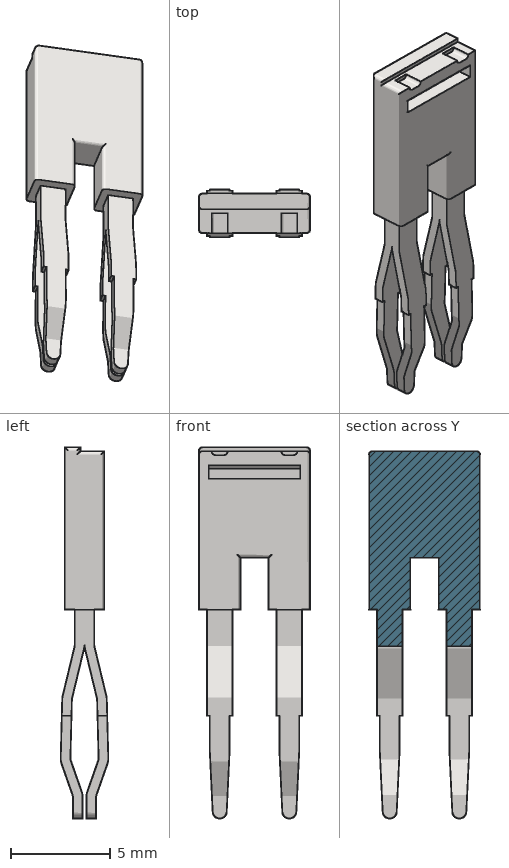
import cadquery as cq
import math


OVERALL_HEIGHT = 18.67
CONTACT_LENGTH = 10.5
HOUSING_WIDTH = 5.6
HOUSING_DEPTH = 2.0
HOUSING_HEIGHT = OVERALL_HEIGHT - CONTACT_LENGTH
END_RADIUS = 0.2

LIP_DEPTH = 0.8
LIP_HEIGHT = 0.2
SHOULDER_HEIGHT = HOUSING_HEIGHT - LIP_HEIGHT

SLOT_WIDTH = 1.4
SLOT_HEIGHT = 2.6
SLOT_EDGE_RADIUS = 0.2

RECESS_WIDTH = 4.6
RECESS_BOTTOM = 6.57
RECESS_HEIGHT = 0.7
RECESS_DEPTH = 1.0
RECESS_BEVEL = 0.18

NOTCH_WIDTH = 0.8
NOTCH_DEPTH = 0.2
NOTCH_LENGTH = 1.0
NOTCH_RADIUS = 0.19

CONTACT_PITCH = 3.5
CONTACT_WIDTH = 1.3
ARM_THICKNESS = 0.5
EMBEDDED_LENGTH = 1.0
BEND_RADIUS_INSIDE = 0.25
BEND_RADIUS_OUTSIDE = BEND_RADIUS_INSIDE + ARM_THICKNESS
NARROW_WIDTH = 1.0
NARROW_TOP = -5.34
TAPER_TOP = -7.18
TIP_RADIUS = 0.36

SPLIT_BEND = (ARM_THICKNESS / 2, -1.86)
UPPER_BEND = (0.875, -4.45)
LOWER_BEND = (0.955, -7.57)
TIP_BEND = (0.34, -9.32)


def offset_path(path, distance):
    """Points of an open (y, z) path moved sideways, towards +Y for a path running down."""
    headings = [math.atan2(b[1] - a[1], b[0] - a[0]) for a, b in zip(path, path[1:])]
    incoming = [headings[0]] + headings
    outgoing = headings + [headings[-1]]
    moved = []
    for (y, z), before, after in zip(path, incoming, outgoing):
        normal = (before + after) / 2 + math.pi / 2
        reach = distance / math.cos((after - before) / 2)
        moved.append((y + reach * math.cos(normal), z + reach * math.sin(normal)))
    return moved


def fillet_bends(arm, bends, radii):
    """Round the crosswise arm edges that lie at the given (y, z) bends."""
    for (y, z), radius in zip(bends, radii):
        arm = arm.edges(cq.selectors.NearestToPointSelector((0, y, z))).fillet(radius)
    return arm


def make_arm():
    """Bent strip of constant thickness on the +Y side, full contact width."""
    path = [
        (SPLIT_BEND[0], EMBEDDED_LENGTH),
        SPLIT_BEND,
        UPPER_BEND,
        LOWER_BEND,
        TIP_BEND,
        (TIP_BEND[0], -CONTACT_LENGTH),
    ]
    outer = offset_path(path, ARM_THICKNESS / 2)
    inner = offset_path(path, -ARM_THICKNESS / 2)
    arm = cq.Workplane("YZ").polyline(outer + inner[::-1]).close().extrude(CONTACT_WIDTH / 2, both=True)
    outer_radii = [BEND_RADIUS_INSIDE, BEND_RADIUS_OUTSIDE, BEND_RADIUS_OUTSIDE, BEND_RADIUS_INSIDE]
    inner_radii = [BEND_RADIUS_OUTSIDE, BEND_RADIUS_INSIDE, BEND_RADIUS_INSIDE, BEND_RADIUS_OUTSIDE]
    arm = fillet_bends(arm, outer[1:-1], outer_radii)
    return fillet_bends(arm, inner[1:-1], inner_radii)


def make_contact():
    """Pair of mirrored arms trimmed to the stepped, tapered and round-tipped front outline."""
    arm = make_arm()
    arms = arm.union(arm.mirror("XZ"))
    wide = CONTACT_WIDTH / 2
    narrow = NARROW_WIDTH / 2
    tip_centre = TIP_RADIUS - CONTACT_LENGTH
    outline = (
        cq.Workplane("XZ")
        .moveTo(-wide, EMBEDDED_LENGTH)
        .lineTo(-wide, NARROW_TOP)
        .lineTo(-narrow, NARROW_TOP)
        .lineTo(-narrow, TAPER_TOP)
        .lineTo(-TIP_RADIUS, tip_centre)
        .threePointArc((0, -CONTACT_LENGTH), (TIP_RADIUS, tip_centre))
        .lineTo(narrow, TAPER_TOP)
        .lineTo(narrow, NARROW_TOP)
        .lineTo(wide, NARROW_TOP)
        .lineTo(wide, EMBEDDED_LENGTH)
        .close()
        .extrude(2 * HOUSING_DEPTH, both=True)
    )
    return arms.intersect(outline)


def make_housing_block():
    """Stepped block with its end faces rounded everywhere but along the underside."""
    front = -HOUSING_DEPTH / 2
    back = HOUSING_DEPTH / 2
    lip_front = back - LIP_DEPTH
    profile = [
        (front, 0),
        (back, 0),
        (back, HOUSING_HEIGHT),
        (lip_front, HOUSING_HEIGHT),
        (lip_front, SHOULDER_HEIGHT),
        (front, SHOULDER_HEIGHT),
    ]
    block = cq.Workplane("YZ").polyline(profile).close().extrude(HOUSING_WIDTH / 2, both=True)
    return block.faces("<X or >X").edges("not <Z").fillet(END_RADIUS)


def cut_slot(housing):
    """Open the slot between the legs and round its edges on the front and back faces."""
    slot = cq.Workplane("XY").box(SLOT_WIDTH, HOUSING_DEPTH, SLOT_HEIGHT, centered=(True, True, False))
    slotted = housing.cut(slot)
    reach = SLOT_WIDTH / 2 + SLOT_EDGE_RADIUS
    rim = cq.selectors.BoxSelector(
        (-reach, -HOUSING_DEPTH, SLOT_EDGE_RADIUS), (reach, HOUSING_DEPTH, SLOT_HEIGHT + SLOT_EDGE_RADIUS)
    )
    return slotted.faces("<Y or >Y").edges(rim).fillet(SLOT_EDGE_RADIUS)


def make_recess():
    """Cutter for the grip recess: flat floor, upright back, ceiling bevelled at the front."""
    front = -HOUSING_DEPTH / 2
    inside = front + RECESS_DEPTH
    top = RECESS_BOTTOM + RECESS_HEIGHT
    ceiling = top - RECESS_BEVEL
    profile = [
        (front, RECESS_BOTTOM),
        (inside, RECESS_BOTTOM),
        (inside, ceiling),
        (front + RECESS_BEVEL, ceiling),
        (front, top),
    ]
    return cq.Workplane("YZ").polyline(profile).close().extrude(RECESS_WIDTH / 2, both=True)


def make_notch():
    """Cutter for one notch in the shoulder, running back from the front face."""
    return (
        cq.Workplane("XY")
        .box(NOTCH_WIDTH, NOTCH_LENGTH, NOTCH_DEPTH, centered=(True, False, False))
        .edges("|Y and <Z")
        .fillet(NOTCH_RADIUS)
        .translate((0, -HOUSING_DEPTH / 2, SHOULDER_HEIGHT - NOTCH_DEPTH))
    )


result = cut_slot(make_housing_block()).cut(make_recess())
for side in (-1, 1):
    offset = (side * CONTACT_PITCH / 2, 0, 0)
    result = result.cut(make_notch().translate(offset))
    result = result.union(make_contact().translate(offset))